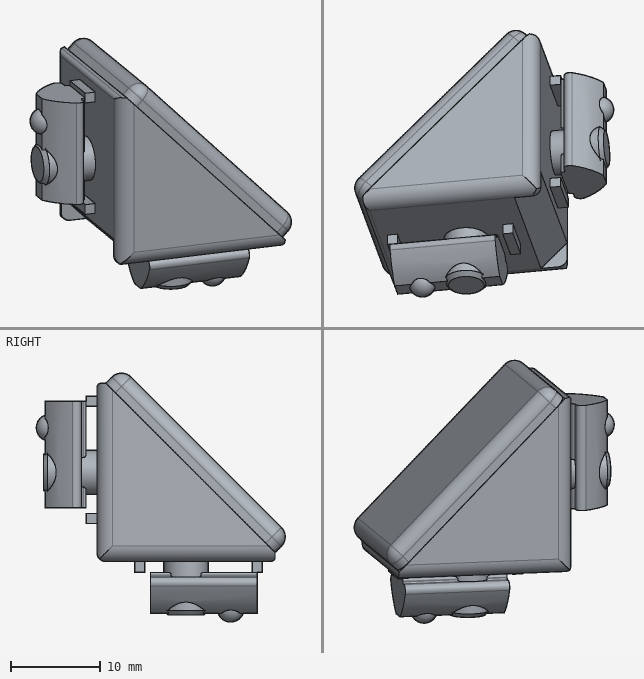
import cadquery as cq
import math

overall = 27.95

leg = 20.0
tip_thickness = 1.0
corner_radius = 1.0
tip_radius = 0.5
side_radius = 1.75
notch_width = 16.35
notch_depth = 3.0

tab_width = 4.8
tab_length = 1.15
tab_spacing = 13.16
tab_middle = 11.4
standoff = 1.2

cap_thickness = 2.5
cap_radius = 1.5
cap_reach = leg + cap_radius - (2 * cap_radius - cap_thickness) / math.sqrt(2)

nut_start = 6.0
nut_length = 12.0
nut_width = 7.7
nut_bottom = 5.8
nut_flat_width = 1.93
neck_width = 5.0
neck_height = 0.53
neck_top_radius = 0.28
neck_foot_radius = 0.17
wing_radius = 0.7
flank_lean = math.radians(26.7)
counterbore_diameter = 6.0
counterbore_depth = 1.0

screw_diameter = neck_width
screw_length = 6.0
screw_chamfer = 0.5
screw_position = leg / 2

ball_radius = 1.5
ball_position = 15.0
ball_depth = overall - cap_reach - ball_radius

front_face = cq.Plane(origin=(0, 0, 0), xDir=(1, 0, 0), normal=(0, -1, 0))
bottom_face = cq.Plane(origin=(0, 0, 0), xDir=(-1, 0, 0), normal=(0, 0, -1))
mounting_faces = [front_face, bottom_face]


def on_face(body, face):
    """Move the single solid of a body built in the face frame onto a mounting face."""
    return body.solids().val().moved(cq.Location(face))


def make_wedge():
    """Triangular prism with rounded corner and tips."""
    outline = [(0, 0), (0, leg), (tip_thickness, leg), (leg, tip_thickness), (leg, 0)]
    wedge = cq.Workplane("YZ").polyline(outline).close().extrude(leg / 2, both=True)
    wedge = wedge.edges("|X").edges("<(0,1,1)").fillet(corner_radius)
    wedge = wedge.edges("|X").edges(">(0,-1,1)").fillet(tip_radius)
    return wedge.edges("|X").edges("<(0,-1,1)").fillet(tip_radius)


def make_side_rounded_block():
    """Cube whose side rounds along the two mounting faces meet in a mitre."""
    cube = cq.Workplane("XY").box(leg, leg, leg, centered=(True, False, False))
    front_rounded = cube.edges("|Z and <Y").fillet(side_radius)
    bottom_rounded = cube.edges("|Y and <Z").fillet(side_radius)
    return front_rounded.intersect(bottom_rounded)


def make_corner_notch():
    """Triangular prism that bevels the middle of the bracket corner."""
    outline = [(0, 0), (0, notch_depth), (notch_depth, 0)]
    return cq.Workplane("YZ").polyline(outline).close().extrude(notch_width / 2, both=True)


def make_tab(face, position):
    """Locating tab standing on a mounting face."""
    return cq.Workplane(face).center(0, position).rect(tab_width, tab_length).extrude(standoff)


def make_bracket():
    """Wedge with rounded sides, a corner notch and two tabs on each mounting face."""
    bracket = make_wedge().intersect(make_side_rounded_block()).cut(make_corner_notch())
    for face in mounting_faces:
        for side in (-1, 1):
            bracket = bracket.union(make_tab(face, tab_middle + side * tab_spacing / 2))
    return bracket


def make_cap():
    """Rounded plate that covers the sloping face from tip to tip."""
    seat_middle = (leg + tip_thickness) / 2
    seat_length = (leg - tip_thickness) * math.sqrt(2)
    seat = cq.Plane(origin=(0, seat_middle, seat_middle), xDir=(1, 0, 0), normal=(0, 1, 1))
    plate = cq.Workplane(seat).rect(leg, seat_length).extrude(cap_thickness)
    return plate.edges("not(<(0,1,1))").fillet(cap_radius)


def make_screw():
    """Headless screw in the face frame."""
    screw = cq.Workplane("XY").center(0, screw_position).circle(screw_diameter / 2).extrude(screw_length)
    return screw.faces(">Z").chamfer(screw_chamfer)


def make_ball():
    """Spring ball in the face frame."""
    return cq.Workplane("XY").sphere(ball_radius).translate((0, ball_position, ball_depth))


def make_nut_half():
    """Half of the nut's section, swept along the slot."""
    shoulder = standoff + neck_height
    wing_x = nut_width / 2 - wing_radius
    wing_z = shoulder + wing_radius
    wing_tip = (nut_width / 2, wing_z)
    flank_start = (
        wing_x + wing_radius * math.cos(flank_lean),
        wing_z + wing_radius * math.sin(flank_lean),
    )
    section = (
        cq.Workplane("XZ", origin=(0, nut_start, 0))
        .moveTo(0, standoff)
        .lineTo(neck_width / 2 - neck_top_radius, standoff)
        .tangentArcPoint((neck_width / 2, standoff + neck_top_radius), relative=False)
        .lineTo(neck_width / 2, shoulder - neck_foot_radius)
        .tangentArcPoint((neck_width / 2 + neck_foot_radius, shoulder), relative=False)
        .lineTo(wing_x, shoulder)
        .threePointArc(wing_tip, flank_start)
        .tangentArcPoint((nut_flat_width / 2, nut_bottom), relative=False)
        .lineTo(0, nut_bottom)
        .close()
    )
    return section.extrude(-nut_length)


def make_nut():
    """Slot nut in the face frame, with the screw hole, its counterbore and the ball socket."""
    half = make_nut_half()
    nut = half.union(half.mirror("YZ"))
    counterbore = (
        cq.Workplane("XY", origin=(0, screw_position, standoff))
        .circle(counterbore_diameter / 2)
        .extrude(counterbore_depth)
    )
    return nut.cut(make_screw()).cut(counterbore).cut(make_ball())


bracket = make_bracket()
cap = make_cap()

nut = make_nut()
screw = make_screw()
ball = make_ball()

nuts = [on_face(nut, face) for face in mounting_faces]
screws = [on_face(screw, face) for face in mounting_faces]
balls = [on_face(ball, face) for face in mounting_faces]

result = cq.Compound.makeCompound([bracket.solids().val(), cap.solids().val(), *nuts, *screws, *balls])